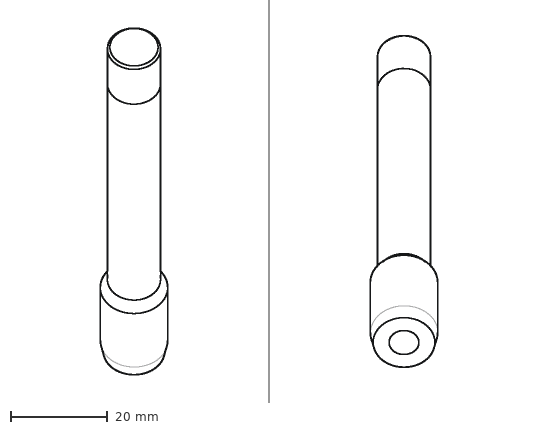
import cadquery as cq
import math

total_length = 103.0
shaft_radius = 5.51
head_radius = 7.0
tip_height = 3.1
tip_radius = tip_height
taper_height = 3.4
taper_angle = 10.0
shoulder_z = 24.0
shoulder_angle = 30.0
cap_length = 12.0
cap_chamfer = 0.5

taper_top_z = tip_height + taper_height
head_end_radius = head_radius - taper_height * math.tan(math.radians(taper_angle))
shoulder_height = (head_radius - shaft_radius) / math.tan(math.radians(shoulder_angle))
shoulder_top_z = shoulder_z + shoulder_height
cap_z = total_length - cap_length


def make_punch():
    """Turned shaft with a thicker head and a conical tip at its lower end."""
    half_profile = [
        (0, 0),
        (tip_radius, tip_height),
        (head_end_radius, tip_height),
        (head_radius, taper_top_z),
        (head_radius, shoulder_z),
        (shaft_radius, shoulder_top_z),
        (shaft_radius, cap_z),
        (0, cap_z),
    ]
    return cq.Workplane("XZ").polyline(half_profile).close().revolve(360, (0, 0), (0, 1))


def make_cap():
    """Cylinder that continues the shaft, with a chamfered top rim."""
    cap = cq.Workplane("XY").workplane(offset=cap_z).circle(shaft_radius).extrude(cap_length)
    return cap.faces(">Z").chamfer(cap_chamfer)


punch = make_punch()
cap = make_cap()

result = cq.Compound.makeCompound([punch.val(), cap.val()])